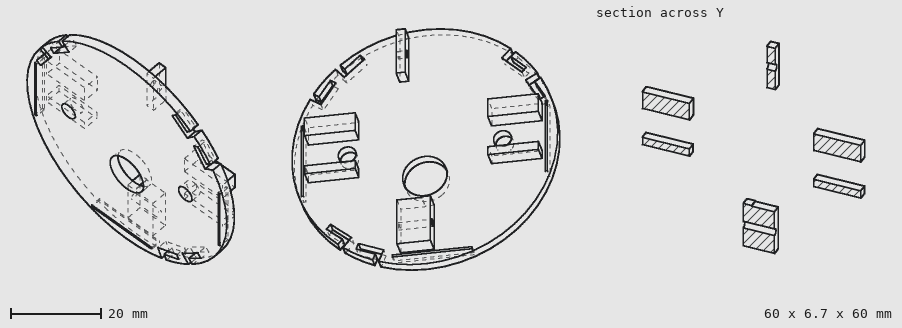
import cadquery as cq

disc_diameter = 60.0
disc_thickness = 2.5
total_depth = 6.7

center_hole_diameter = 10.0
center_hole_z = -7.5
side_hole_diameter = 4.0
side_hole_x = 17.5

strap_slot_length = 18.0
strap_slot_width = 0.55
left_slot_x = -27.4
right_slot_x = 27.65
side_slot_z = -0.4
bottom_slot_x = -1.6
bottom_slot_z = -27.1

hook_slots = [
    (18.2, 20.0, 138.2),
    (23.45, 13.6, 123.4),
    (-17.4, 20.7, 222.5),
    (-22.8, 14.4, 239.9),
    (16.55, -21.3, 39.8),
    (9.3, -25.3, 22.0),
]
hook_length = 6.1
hook_width = 1.45
mouth_length = 4.8

thin_lug = 2.05
lug_depth = 4.0
side_wide_lug_depth = total_depth - disc_thickness
top_lug_depth = 4.1
lug_length = 11.4
left_lug_x = -26.45
right_lug_x = 14.9
side_wide_lug_bottom = 3.55
side_wide_lug_height = 4.5
side_thin_lug_bottom = -6.1
top_lug_x = 3.6
top_lug_bottom = 17.2
top_lug_length = 11.1
bottom_lug_x = -2.1
bottom_lug_bottom = -26.5
bottom_wide_lug_width = 5.5
bottom_wide_lug_step = 0.2

pin_diameter = 1.6
pin_y = disc_thickness + 2.0
top_pin_z = 23.05
bottom_pin_z = -20.8


def through_cylinder(x, z, diameter):
    """Cylinder along Y through the disc thickness."""
    return cq.Workplane("XZ").center(x, z).circle(diameter / 2).extrude(-disc_thickness)


def through_slot(x, z, width, height):
    """Rectangular cutter through the disc thickness, centered at X, Z."""
    return cq.Workplane("XZ").center(x, z).rect(width, height).extrude(-disc_thickness)


def hook_cutter(elbow_x, elbow_z, angle):
    """L-shaped cutter: a long leg from the elbow and a mouth out to the rim."""
    outline = [
        (0, 0),
        (hook_length, 0),
        (hook_length, -hook_width),
        (hook_width, -hook_width),
        (hook_width, -mouth_length),
        (0, -mouth_length),
    ]
    flat = cq.Workplane("XZ").polyline(outline).close().extrude(-disc_thickness)
    turned = flat.rotate((0, 0, 0), (0, 1, 0), -angle)
    return turned.translate((elbow_x, 0, elbow_z))


def lug(x, z, width, height, depth=lug_depth):
    """Block on the back face, placed by its lowest X and Z."""
    block = cq.Workplane("XY").box(width, depth, height, centered=False)
    return block.translate((x, disc_thickness, z))


def pin_hole(z):
    """Cylinder along X, long enough to pass through every lug at this height."""
    cylinder = cq.Workplane("YZ").center(pin_y, z).circle(pin_diameter / 2)
    return cylinder.extrude(disc_diameter / 2, both=True)


result = through_cylinder(0, 0, disc_diameter)
result = result.cut(through_cylinder(0, center_hole_z, center_hole_diameter))
for side in (-1, 1):
    result = result.cut(through_cylinder(side * side_hole_x, 0, side_hole_diameter))
for slot_x in (left_slot_x, right_slot_x):
    result = result.cut(through_slot(slot_x, side_slot_z, strap_slot_width, strap_slot_length))
result = result.cut(through_slot(bottom_slot_x, bottom_slot_z, strap_slot_length, strap_slot_width))
for elbow_x, elbow_z, angle in hook_slots:
    result = result.cut(hook_cutter(elbow_x, elbow_z, angle))

for lug_x in (left_lug_x, right_lug_x):
    wide_lug = lug(
        lug_x,
        side_wide_lug_bottom,
        lug_length,
        side_wide_lug_height,
        side_wide_lug_depth,
    )
    result = result.union(wide_lug)
    result = result.union(lug(lug_x, side_thin_lug_bottom, lug_length, thin_lug))

result = result.union(lug(top_lug_x, top_lug_bottom, thin_lug, top_lug_length, top_lug_depth))
result = result.union(lug(bottom_lug_x, bottom_lug_bottom, thin_lug, lug_length))
bottom_wide_lug = lug(
    bottom_lug_x + thin_lug,
    bottom_lug_bottom,
    bottom_wide_lug_width,
    lug_length - bottom_wide_lug_step,
)
result = result.union(bottom_wide_lug)

for pin_z in (top_pin_z, bottom_pin_z):
    result = result.cut(pin_hole(pin_z))